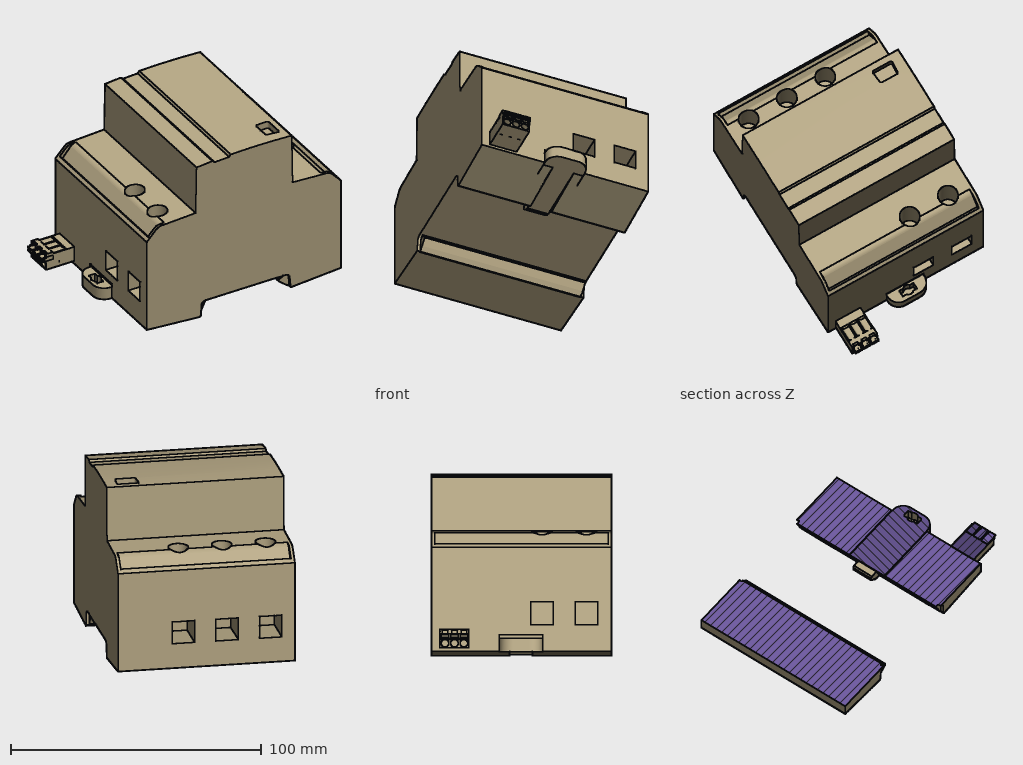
import cadquery as cq


width = 72.0
depth = 90.0
height = 72.5
mid_y = depth / 2

front_edge_z = 1.8
rear_edge_z = 2.1
rear_foot_z = 0.4
rail_front_y = 25.1
rail_rear_y = 66.6
rail_rear_draft = 0.4
rail_top_z = 7.0
rail_corner = 2.0
foot_chamfer = 0.6

shoulder_edge_z = 43.5
edge_bevel_width = 0.2
edge_bevel_height = 0.4
slope_end = 3.9
slope_rise = 4.1
round_end = 6.7
round_end_z = 49.0
tower_front_y = 22.6
tower_rear_y = 67.5
tower_foot_z = 49.9

tower_draft = 0.4
strip_front_z = 71.3
strip_rear_z = 71.9
strip_rear_y = 30.3
groove_floor_front_y = 31.4
groove_floor_rear_y = 38.1
groove_rear_y = 38.8
groove_floor_front_z = 71.1
groove_floor_rear_z = 71.4
plate_edge_z = 72.3
crown_y = 49.3
plate_rear_z = 72.1

pocket_margin = 1.4
pocket_edge_inset = 1.3
pocket_depth = 1.3
pocket_floor_rise = 4.5
pocket_end = 8.7
pocket_end_z = 49.1

terminal_pitch = 17.7
front_terminal_x = 44.2
front_terminal_count = 2
rear_terminal_x = 9.9
rear_terminal_count = 3
screw_hole_dia = 8.1
screw_hole_inset = 10.8
screw_hole_bottom_z = 33.6
wire_opening = 9.1
wire_opening_z = 17.0
wire_opening_depth = 15.7

window_x = 62.8
window_front_y = 58.1
window_rear_y = 64.2
window_front_width = 8.2
window_rear_width = 9.1
window_corner = 0.8
window_depth = 3.1

rail_rib_margin = 1.3
ramp_low_y = 25.4
ramp_high_y = 28.2
ramp_low_z = 0.9
hook_outline = [(64.7, 1.8), (61.9, 4.0), (61.7, 4.6), (62.0, 5.1), (63.3, 5.7), (63.9, 6.2)]

latch_x = 35.8
latch_width = 17.2
latch_bottom_z = 1.7
latch_top_z = 7.0
latch_reach = 5.7
latch_corner = 5.1
latch_relief_z = 8.5
latch_relief_depth = 0.6
nose_width = 9.0
nose_outline = [(27.6, 1.7), (28.9, 2.1), (31.4, 4.2), (31.4, 5.4), (30.8, 6.0), (28.8, 6.3)]
tool_hole_y = -2.2
tool_hole_dia = 4.2
tool_slot_length = 6.6
tool_slot_width = 2.8
tool_hole_floor = 1.0

plug_left_x = 3.5
plug_width = 11.5
plug_bottom_z = 3.1
plug_base_z = 9.9
plug_top_z = 10.6
plug_front_y = -13.1
plate_foot_y = -9.3
plate_top_y = -10.2
collar_front_y = -13.7
collar_top_z = 8.8
collar_bottom_z = 7.0
collar_foot_z = 6.4
pole_count = 3
pole_pitch = 3.8
rib_width = 3.1
rib_top_width = 1.5
rib_foot_y = -3.6
rib_top_y = -4.8
wire_hole_dia = 3.0
wire_hole_z = 5.0
wire_hole_depth = 6.3
notch_width = 2.1
notch_top_z = 10.3
notch_depth = 1.0

lever_width = 3.0
lever_bottom_z = 6.9
lever_top_z = 8.8
lever_rear_y = -9.4
lever_front_y = -15.0
lever_slot_width = 0.9
lever_slot_depth = 0.9

front_terminals = [front_terminal_x + i * terminal_pitch for i in range(front_terminal_count)]
rear_terminals = [rear_terminal_x + i * terminal_pitch for i in range(rear_terminal_count)]
first_pole_x = plug_left_x + (plug_width - (pole_count - 1) * pole_pitch) / 2
poles = [first_pole_x + i * pole_pitch for i in range(pole_count)]


def box(x0, x1, y0, y1, z0, z1):
    return cq.Workplane("XY").box(x1 - x0, y1 - y0, z1 - z0, centered=False).translate((x0, y0, z0))


def centred_box(x, x_width, y0, y1, z0, z1):
    return box(x - x_width / 2, x + x_width / 2, y0, y1, z0, z1)


def side_sketch(x):
    """Workplane across the width at x, drawn with Y to the right and Z up."""
    return cq.Workplane("YZ", origin=(x, 0, 0))


def to_rear(shape):
    """Copies a front feature to the rear end."""
    return shape.mirror("XZ", (0, mid_y, 0))


def bulge(start, end, amount):
    """Point beside the middle of a chord, on its left for a positive amount."""
    dy = end[0] - start[0]
    dz = end[1] - start[1]
    length = (dy**2 + dz**2) ** 0.5
    return (
        (start[0] + end[0]) / 2 - dz / length * amount,
        (start[1] + end[1]) / 2 + dy / length * amount,
    )


def housing_block():
    slope_end_z = shoulder_edge_z + slope_rise
    bevel_top_z = shoulder_edge_z + edge_bevel_width * slope_rise / slope_end
    front_slope_end = (slope_end, slope_end_z)
    front_round_end = (round_end, round_end_z)
    rear_slope_end = (depth - slope_end, slope_end_z)
    rear_round_end = (depth - round_end, round_end_z)
    shoulder_bulge = 0.3
    rail_bulge = 0.5
    front_wall_top = (rail_front_y, rail_top_z - rail_corner)
    front_ceiling = (rail_front_y + rail_corner, rail_top_z)
    rear_wall_top = (rail_rear_y - rail_rear_draft, rail_top_z - rail_corner)
    rear_ceiling = (rail_rear_y - rail_rear_draft - rail_corner, rail_top_z)
    return (
        side_sketch(0)
        .moveTo(0, front_edge_z)
        .lineTo(0, bevel_top_z - edge_bevel_height)
        .lineTo(edge_bevel_width, bevel_top_z)
        .lineTo(*front_slope_end)
        .threePointArc(bulge(front_slope_end, front_round_end, shoulder_bulge), front_round_end)
        .lineTo(tower_front_y, tower_foot_z)
        .lineTo(tower_front_y + tower_draft, strip_front_z)
        .lineTo(strip_rear_y, strip_rear_z)
        .lineTo(groove_floor_front_y, groove_floor_front_z)
        .lineTo(groove_floor_rear_y, groove_floor_rear_z)
        .lineTo(groove_rear_y, plate_edge_z)
        .threePointArc((crown_y, height), (tower_rear_y - tower_draft, plate_rear_z))
        .lineTo(tower_rear_y, tower_foot_z)
        .lineTo(*rear_round_end)
        .threePointArc(bulge(rear_round_end, rear_slope_end, shoulder_bulge), rear_slope_end)
        .lineTo(depth - edge_bevel_width, bevel_top_z)
        .lineTo(depth, bevel_top_z - edge_bevel_height)
        .lineTo(depth, rear_edge_z)
        .lineTo(rail_rear_y, rear_foot_z)
        .lineTo(*rear_wall_top)
        .threePointArc(bulge(rear_wall_top, rear_ceiling, -rail_bulge), rear_ceiling)
        .lineTo(*front_ceiling)
        .threePointArc(bulge(front_ceiling, front_wall_top, -rail_bulge), front_wall_top)
        .lineTo(rail_front_y, foot_chamfer)
        .lineTo(rail_front_y - foot_chamfer, 0)
        .close()
        .extrude(width)
    )


def label_pocket():
    """Pocket sunk square to the front shoulder slope, rounding out onto the gentle rise."""
    edge_z = shoulder_edge_z + pocket_edge_inset
    floor_front = (pocket_edge_inset + pocket_depth, edge_z - pocket_depth)
    floor_rear = (floor_front[0] + slope_end, floor_front[1] + pocket_floor_rise)
    pocket_rear = (pocket_end, pocket_end_z)
    pocket_bulge = 0.2
    return (
        side_sketch(pocket_margin)
        .moveTo(*floor_front)
        .lineTo(*floor_rear)
        .threePointArc(bulge(floor_rear, pocket_rear, pocket_bulge), pocket_rear)
        .lineTo(pocket_end, tower_foot_z)
        .lineTo(floor_front[0] - tower_foot_z + floor_front[1], tower_foot_z)
        .close()
        .extrude(width - 2 * pocket_margin)
    )


def front_terminal(x):
    """Cutting shape for one terminal at the front end."""
    screw_hole = (
        cq.Workplane("XY", origin=(x, screw_hole_inset, screw_hole_bottom_z))
        .circle(screw_hole_dia / 2)
        .extrude(height - screw_hole_bottom_z)
    )
    wire_entry = centred_box(
        x, wire_opening, 0, wire_opening_depth,
        wire_opening_z - wire_opening / 2, wire_opening_z + wire_opening / 2,
    )
    return screw_hole.union(wire_entry)


def window():
    half_front = window_front_width / 2
    half_rear = window_rear_width / 2
    return (
        cq.Workplane("XY", origin=(window_x, 0, plate_edge_z - window_depth))
        .moveTo(-half_front, window_front_y)
        .lineTo(half_front, window_front_y)
        .lineTo(half_rear, window_rear_y)
        .lineTo(-half_rear, window_rear_y)
        .close()
        .extrude(2 * window_depth)
        .edges("|Z")
        .fillet(window_corner)
    )


def rail_rib(outline):
    """Rib through the rail recess, stopping short of both housing sides."""
    return (
        side_sketch(rail_rib_margin)
        .polyline(outline)
        .close()
        .extrude(width - 2 * rail_rib_margin)
    )


def rail_hook():
    wall_y = rail_rear_y + rail_rear_draft
    root_low = [(wall_y, rail_top_z), (wall_y, rear_foot_z), (rail_rear_y, rear_foot_z)]
    return rail_rib(root_low + hook_outline + [(hook_outline[-1][0], rail_top_z)])


def rail_ramp():
    return rail_rib([
        (rail_front_y, ramp_low_z),
        (ramp_low_y, ramp_low_z),
        (ramp_high_y, rail_top_z),
        (rail_front_y, rail_top_z),
    ])


def latch_slot():
    passage = centred_box(latch_x, latch_width, 0, ramp_high_y, latch_bottom_z, latch_top_z)
    relief = centred_box(latch_x, latch_width, 0, latch_relief_depth, 0, latch_relief_z)
    bottom_gap = centred_box(latch_x, nose_width, 0, ramp_high_y, 0, latch_bottom_z)
    return passage.union(relief).union(bottom_gap)


def make_housing():
    housing = housing_block().union(rail_hook()).union(rail_ramp())
    pocket = label_pocket()
    housing = housing.cut(pocket).cut(to_rear(pocket)).cut(window()).cut(latch_slot())
    for x in front_terminals:
        housing = housing.cut(front_terminal(x))
    for x in rear_terminals:
        housing = housing.cut(to_rear(front_terminal(x)))
    return housing


def latch_bar():
    """Sliding bar with a rounded pull tab at the front, its rear end flush with the ramp."""
    ramp_run = (ramp_high_y - ramp_low_y) / (rail_top_z - ramp_low_z)
    end_low_y = ramp_low_y + ramp_run * (latch_bottom_z - ramp_low_z)
    bar = (
        side_sketch(latch_x - latch_width / 2)
        .moveTo(-latch_reach, latch_bottom_z)
        .lineTo(end_low_y, latch_bottom_z)
        .lineTo(ramp_high_y, latch_top_z)
        .lineTo(-latch_reach, latch_top_z)
        .close()
        .extrude(latch_width)
    )
    return bar.edges("|Z").edges("<Y").fillet(latch_corner)


def latch_nose():
    nose_top_z = nose_outline[-1][1]
    root = [(rail_front_y, nose_top_z), (rail_front_y, latch_bottom_z)]
    return (
        side_sketch(latch_x - nose_width / 2)
        .polyline(root + nose_outline)
        .close()
        .extrude(nose_width)
    )


def tool_hole():
    """Blind round hole crossed by a wider slot, sunk into the top of the pull tab."""
    hole_depth = latch_top_z - latch_bottom_z - tool_hole_floor
    sketch = cq.Workplane("XY", origin=(latch_x, tool_hole_y, latch_top_z - hole_depth))
    bore = sketch.circle(tool_hole_dia / 2).extrude(hole_depth)
    return bore.union(sketch.rect(tool_slot_length, tool_slot_width).extrude(hole_depth))


def make_latch():
    return latch_bar().union(latch_nose()).cut(tool_hole())


def plug_block():
    return (
        side_sketch(plug_left_x)
        .moveTo(0, plug_bottom_z)
        .lineTo(0, plug_base_z)
        .lineTo(plate_foot_y, plug_base_z)
        .lineTo(plate_top_y, plug_top_z)
        .lineTo(plug_front_y, plug_top_z)
        .lineTo(plug_front_y, collar_top_z)
        .lineTo(collar_front_y, collar_top_z)
        .lineTo(collar_front_y, collar_bottom_z)
        .lineTo(plug_front_y, collar_foot_z)
        .lineTo(plug_front_y, plug_bottom_z)
        .close()
        .extrude(plug_width)
    )


def grip_rib(x):
    """Rib with rounded flanks and a ramp at its rear end, running into the front plate."""
    rise = plug_top_z - plug_base_z
    foot_right = (rib_width / 2, 0)
    top_right = (rib_top_width / 2, rise)
    top_left = (-rib_top_width / 2, rise)
    foot_left = (-rib_width / 2, 0)
    flank_bulge = -0.16
    rib = (
        cq.Workplane("XZ", origin=(x, rib_foot_y, plug_base_z))
        .moveTo(*foot_right)
        .threePointArc(bulge(foot_right, top_right, flank_bulge), top_right)
        .lineTo(*top_left)
        .threePointArc(bulge(top_left, foot_left, flank_bulge), foot_left)
        .close()
        .extrude(rib_foot_y - plate_top_y)
    )
    ramp = (
        side_sketch(x - rib_width / 2)
        .moveTo(rib_foot_y, plug_base_z)
        .lineTo(rib_top_y, plug_top_z)
        .lineTo(rib_foot_y, plug_top_z)
        .close()
        .extrude(rib_width)
    )
    return rib.cut(ramp)


def wire_hole(x):
    return (
        cq.Workplane("XZ", origin=(x, plug_front_y + wire_hole_depth, wire_hole_z))
        .circle(wire_hole_dia / 2)
        .extrude(wire_hole_depth)
    )


def lever_notch(x):
    """Finger clearance above a lever, in the front of the plug."""
    return centred_box(
        x, notch_width, plug_front_y, plug_front_y + notch_depth, lever_top_z, notch_top_z
    )


def lever_cavity(x):
    return centred_box(x, lever_width, lever_front_y, lever_rear_y, lever_bottom_z, lever_top_z)


def make_plug():
    plug = plug_block()
    for x in poles:
        plug = plug.union(grip_rib(x))
        plug = plug.cut(wire_hole(x)).cut(lever_notch(x)).cut(lever_cavity(x))
    return plug


def make_lever(x):
    """Push lever filling its cavity, with a tool slot across its front end."""
    lever_mid_z = (lever_bottom_z + lever_top_z) / 2
    tool_slot = centred_box(
        x, lever_width, lever_front_y, lever_front_y + lever_slot_depth,
        lever_mid_z - lever_slot_width / 2, lever_mid_z + lever_slot_width / 2,
    )
    return lever_cavity(x).cut(tool_slot)


housing = make_housing().solids()
latch = make_latch().solids()
plug = make_plug().solids()
levers = [make_lever(x).solids().val() for x in poles]

result = cq.Compound.makeCompound([housing.val(), latch.val(), plug.val(), *levers])